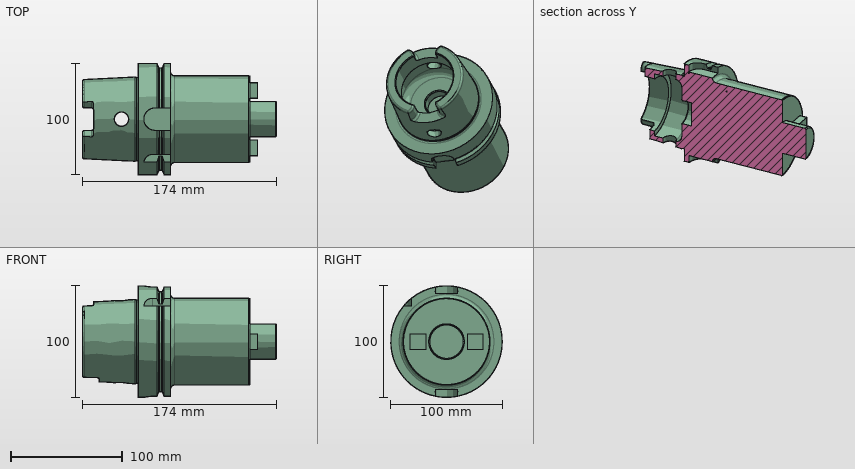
import cadquery as cq
import math


shank_length = 50.0
taper_radius_at_flange = 38.0
taper_slope = 1 / 20
end_rounding = 1.8

relief_width = 2.7
relief_radius = 37.4
relief_floor_start = -1.4
relief_face_depth = 0.3
relief_face_inner_radius = 38.2
relief_face_outer_radius = 39.6

flange_radius = 50.0
flange_width = 29.0
groove_center = 20.0
groove_mouth_width = 6.4
groove_floor_width = 3.0
groove_floor_radius = 46.0
groove_floor_fillet = 0.7
selection_margin = 0.1

body_radius = 39.0
body_end = 100.0
body_chamfer_length = 1.0
body_chamfer_depth = 0.5
flange_fillet = 3.5
pilot_radius = 16.0
pilot_length = 24.0
pilot_chamfer = 1.0

bore_radius = 26.5
bore_mouth_chamfer = 0.8
bore_step_depth = 20.0
chamber_radius = 31.5
chamber_depth = 47.3
chamber_floor_fillet = 6.3
center_hole_radius = 11.6
center_hole_depth = 10.0
center_hole_chamfer = 0.9

drive_slot_width = 20.0
upper_slot_depth = 10.0
lower_slot_depth = 15.0
slot_floor_rounding = 2.0
slot_flare_start = 25.3
slot_flare_radius = 7.0

cross_hole_diameter = 12.6
cross_hole_x = -15.0

key_slot_width = 20.0
key_slot_tip = 5.0
key_slot_floor = 43.0
notch_wall = 31.5
notch_floor = 32.0
notch_corner_radius = 8.0

key_width = 14.0
key_height = 7.0
key_inner = 18.6
key_outer = 32.8


def taper_radius(x):
    """Radius of the taper at position x along the axis."""
    return taper_radius_at_flange + taper_slope * x


def make_turned_body():
    """Solid of revolution: taper, relief, grooved flange, body and pilot."""
    pilot_end = body_end + pilot_length
    half_mouth = groove_mouth_width / 2
    half_floor = groove_floor_width / 2
    fillet_mid = flange_fillet * (1 - math.sqrt(0.5))
    profile = (
        cq.Workplane("XY")
        .moveTo(-shank_length, 0)
        .lineTo(-shank_length, taper_radius(-shank_length))
        .lineTo(-relief_width, taper_radius(-relief_width))
        .lineTo(relief_floor_start, relief_radius)
        .lineTo(relief_face_depth, relief_radius)
        .lineTo(relief_face_depth, relief_face_inner_radius)
        .lineTo(0, relief_face_outer_radius)
        .lineTo(0, flange_radius)
        .lineTo(groove_center - half_mouth, flange_radius)
        .lineTo(groove_center - half_floor, groove_floor_radius)
        .lineTo(groove_center + half_floor, groove_floor_radius)
        .lineTo(groove_center + half_mouth, flange_radius)
        .lineTo(flange_width, flange_radius)
        .lineTo(flange_width, body_radius + flange_fillet)
        .threePointArc(
            (flange_width + fillet_mid, body_radius + fillet_mid),
            (flange_width + flange_fillet, body_radius),
        )
        .lineTo(body_end - body_chamfer_length, body_radius)
        .lineTo(body_end, body_radius - body_chamfer_depth)
        .lineTo(body_end, pilot_radius)
        .lineTo(pilot_end - pilot_chamfer, pilot_radius)
        .lineTo(pilot_end, pilot_radius - pilot_chamfer)
        .lineTo(pilot_end, 0)
        .close()
    )
    turned = profile.revolve(360, (0, 0, 0), (1, 0, 0))
    box_half_length = half_floor + selection_margin
    box_half_height = groove_floor_radius + selection_margin
    groove_box = cq.selectors.BoxSelector(
        (groove_center - box_half_length, -box_half_height, -box_half_height),
        (groove_center + box_half_length, box_half_height, box_half_height),
        boundingbox=True,
    )
    return turned.edges("%CIRCLE").edges(groove_box).fillet(groove_floor_fillet)


def make_bore():
    """Bore opening at the shank end, widening into a round-cornered chamber with a center hole."""
    mouth = -shank_length
    step = mouth + bore_step_depth
    floor = mouth + chamber_depth
    fillet_start = floor - chamber_floor_fillet
    floor_edge_radius = chamber_radius - chamber_floor_fillet
    fillet_reach = chamber_floor_fillet * math.sqrt(0.5)
    hole_floor = floor + center_hole_depth
    profile = (
        cq.Workplane("XY")
        .moveTo(mouth, 0)
        .lineTo(mouth, bore_radius + bore_mouth_chamfer)
        .lineTo(mouth + bore_mouth_chamfer, bore_radius)
        .lineTo(step, bore_radius)
        .lineTo(step, chamber_radius)
        .lineTo(fillet_start, chamber_radius)
        .threePointArc(
            (fillet_start + fillet_reach, floor_edge_radius + fillet_reach),
            (floor, floor_edge_radius),
        )
        .lineTo(floor, center_hole_radius + center_hole_chamfer)
        .lineTo(floor + center_hole_chamfer, center_hole_radius)
        .lineTo(hole_floor, center_hole_radius)
        .lineTo(hole_floor, 0)
        .close()
    )
    return profile.revolve(360, (0, 0, 0), (1, 0, 0))


def make_drive_slot(depth):
    """Cutter for a slot on the +Z side of the shank end, flared outwards by an arc on each wall."""
    half = drive_slot_width / 2
    arc_offset = slot_flare_radius * (1 - math.sqrt(0.5))
    arc_rise = slot_flare_radius * math.sqrt(0.5)
    flare_half = half + slot_flare_radius
    flare_top = slot_flare_start + slot_flare_radius
    top = flange_radius
    cutter = (
        cq.Workplane("YZ", origin=(-shank_length, 0, 0))
        .moveTo(-half, 0)
        .lineTo(half, 0)
        .lineTo(half, slot_flare_start)
        .threePointArc((half + arc_offset, slot_flare_start + arc_rise), (flare_half, flare_top))
        .lineTo(flare_half, top)
        .lineTo(-flare_half, top)
        .lineTo(-flare_half, flare_top)
        .threePointArc((-half - arc_offset, slot_flare_start + arc_rise), (-half, slot_flare_start))
        .close()
        .extrude(depth)
    )
    return cutter.faces(">X").edges("|Z or %CIRCLE").fillet(slot_floor_rounding)


def make_cross_hole():
    """Cutter for the hole that crosses the shank along Z."""
    return (
        cq.Workplane("XY", origin=(cross_hole_x, 0, -flange_radius))
        .circle(cross_hole_diameter / 2)
        .extrude(2 * flange_radius)
    )


def make_key_slot():
    """Cutter for a round-ended key slot on the +Z side of the flange."""
    radius = key_slot_width / 2
    start = key_slot_tip + radius
    end = flange_width + flange_fillet
    plane = cq.Workplane("XY", origin=(0, 0, key_slot_floor))
    height = flange_radius
    round_end = plane.center(start, 0).circle(radius).extrude(height)
    straight = plane.center((start + end) / 2, 0).rect(end - start, key_slot_width).extrude(height)
    return round_end.union(straight)


def make_orientation_notch():
    """Cutter for the corner notch on the -Y, +Z side of the flange."""
    radius = notch_corner_radius
    start = key_slot_tip + radius
    end = flange_width + flange_fillet
    diagonal = radius * math.sqrt(0.5)
    return (
        cq.Workplane("XY", origin=(0, 0, notch_floor))
        .moveTo(end, -notch_wall)
        .lineTo(start, -notch_wall)
        .threePointArc(
            (start - diagonal, -notch_wall - radius + diagonal),
            (key_slot_tip, -notch_wall - radius),
        )
        .lineTo(key_slot_tip, -flange_radius)
        .lineTo(end, -flange_radius)
        .close()
        .extrude(flange_radius)
    )


def make_driving_key():
    """Driving key on the +Y side of the body face."""
    key = cq.Workplane("XY").box(key_height, key_outer - key_inner, key_width)
    return key.translate((body_end + key_height / 2, (key_inner + key_outer) / 2, 0))


def half_turn(shape):
    """Shape turned by 180 degrees about the part axis."""
    return shape.rotate((0, 0, 0), (1, 0, 0), 180)


part = make_turned_body()
part = part.cut(make_drive_slot(upper_slot_depth))
part = part.cut(half_turn(make_drive_slot(lower_slot_depth)))
part = part.faces("<X").edges().fillet(end_rounding)
part = part.cut(make_bore())
part = part.cut(make_cross_hole())
part = part.cut(make_key_slot())
part = part.cut(half_turn(make_key_slot()))
part = part.cut(make_orientation_notch())
part = part.union(make_driving_key())
part = part.union(half_turn(make_driving_key()))

result = part